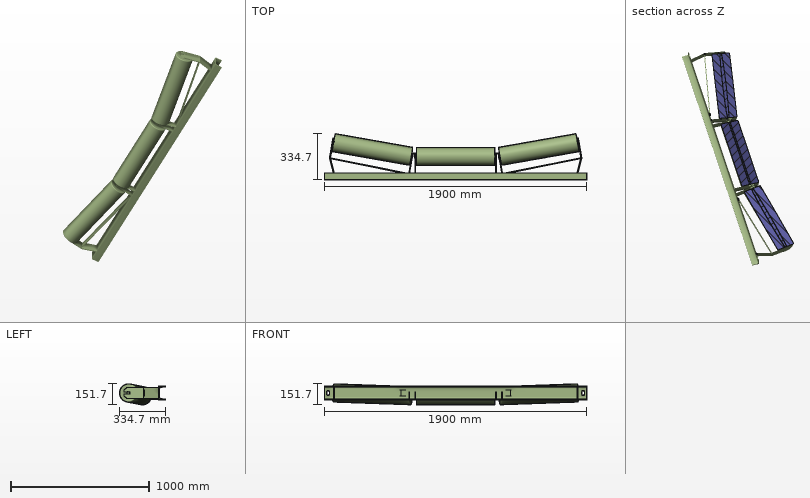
import cadquery as cq
import math


channel_length = 1900.0
channel_height = 99.0
flange_width = 51.0
web_thickness = 5.0
flange_tip_thickness = 5.0
flange_root_thickness = 10.0
root_fillet = 10.0
slot_width = 17.0
slot_height = 35.0
slot_end_distance = 27.0

roller_radius = 66.0
roller_length = 570.0
roller_edge_fillet = 5.0
shaft_diameter = 20.0
shaft_flat_width = 15.0
middle_roller_y = 118.0
side_roller_x = 602.0
side_roller_y = 170.0
side_roller_z = -10.0
yaw = 10.0
tilt = 2.0
middle_roller_z = side_roller_z - roller_length / 2 * math.sin(math.radians(tilt))

plate_thickness = 5.0
outer_plate_thickness = 8.0
outer_plate_height = 82.0
inner_bracket_height = 53.0
plate_gap = 4.0
plate_face = roller_length / 2 + plate_gap
shaft_half_length = plate_face + outer_plate_thickness
slot_overrun = 2.0
outer_tip_rise = 32.0
tip_chamfer_along = 23.0
tip_chamfer_high = 19.0
bend_y = 108.0
foot_lean = 14.5
bracket_top_y = 142.0
strut_height = 45.0
strut_end_x = 363.0

cos_yaw = math.cos(math.radians(yaw))
sin_yaw = math.sin(math.radians(yaw))


def place_on_axis(body, side):
    """Move a body from the X axis onto a roller axis: side is -1 (left), 0 (middle) or 1 (right)."""
    tilted = body.rotate((0, 0, 0), (0, 1, 0), -side * tilt)
    turned = tilted.rotate((0, 0, 0), (0, 0, 1), side * yaw)
    if side == 0:
        return turned.translate((0, middle_roller_y, middle_roller_z))
    return turned.translate((side * side_roller_x, side_roller_y, side_roller_z))


def axis_cylinder(radius, length):
    """Cylinder along the X axis, centred on the origin."""
    return cq.Workplane("YZ", origin=(-length / 2, 0, 0)).circle(radius).extrude(length)


def make_shaft():
    """Round shaft whose ends, outside the roller, have two flats facing up and down."""
    shaft = axis_cylinder(shaft_diameter / 2, 2 * shaft_half_length)
    end_length = shaft_half_length - roller_length / 2
    keep = cq.Workplane("XY").box(roller_length, shaft_diameter, shaft_diameter)
    for end in (-1, 1):
        flat_end = cq.Workplane("XY").box(end_length, shaft_diameter, shaft_flat_width)
        keep = keep.union(flat_end.translate((end * (roller_length + end_length) / 2, 0, 0)))
    return shaft.intersect(keep)


def make_roller():
    """Roller with rounded end edges, bored for its shaft."""
    roller = axis_cylinder(roller_radius, roller_length)
    roller = roller.edges("%CIRCLE").fillet(roller_edge_fillet)
    bore = axis_cylinder(shaft_diameter / 2, roller_length)
    return roller.cut(bore)


def make_channel():
    """Channel open toward -Y, with tapered flanges and a slot through the web near each end."""
    half = channel_height / 2
    profile = [
        (0, -half),
        (0, half),
        (-flange_width, half),
        (-flange_width, half - flange_tip_thickness),
        (-web_thickness, half - flange_root_thickness),
        (-web_thickness, -half + flange_root_thickness),
        (-flange_width, -half + flange_tip_thickness),
        (-flange_width, -half),
    ]
    channel = cq.Workplane("YZ", origin=(-channel_length / 2, 0, 0)).polyline(profile).close()
    channel = channel.extrude(channel_length)
    inner_corners = cq.selectors.BoxSelector(
        (-channel_length, -flange_width / 2, -half),
        (channel_length, -web_thickness / 2, half),
    )
    channel = channel.edges("|X").edges(inner_corners).fillet(root_fillet)
    slot_x = channel_length / 2 - slot_end_distance
    slots = (
        cq.Workplane("XZ")
        .pushPoints([(-slot_x, 0), (slot_x, 0)])
        .slot2D(slot_height, slot_width, 90)
        .extrude(flange_width, both=True)
    )
    return channel.cut(slots)


def side_plan_point(along, across):
    """Plan position measured from the right roller's centre, along its axis and square to it."""
    x = side_roller_x + along * cos_yaw - across * sin_yaw
    y = side_roller_y + along * sin_yaw + across * cos_yaw
    return (x, y)


def side_plan_point_at_y(along, y):
    """Plan position on the line square to the right roller's axis, where it reaches a given Y."""
    across = (y - side_roller_y - along * sin_yaw) / cos_yaw
    return side_plan_point(along, across)


def strip(outline, height):
    """Upright strip, centred on the channel's height, from its outline in plan."""
    return cq.Workplane("XY", origin=(0, 0, -height / 2)).polyline(outline).close().extrude(height)


def make_outer_plate():
    """Bent plate that carries the outer end of the right roller."""
    outer_face = plate_face + outer_plate_thickness
    inner_bend = side_plan_point_at_y(plate_face, bend_y)
    outer_bend = side_plan_point_at_y(outer_face, bend_y)
    foot_shift = bend_y * math.tan(math.radians(foot_lean))
    plate = strip(
        [
            side_plan_point(plate_face, outer_tip_rise),
            inner_bend,
            (inner_bend[0] - foot_shift, 0),
            (outer_bend[0] - foot_shift, 0),
            outer_bend,
            side_plan_point(outer_face, outer_tip_rise),
        ],
        outer_plate_height,
    )
    tip_y = side_plan_point(plate_face, outer_tip_rise)[1]
    half = outer_plate_height / 2
    for end in (-1, 1):
        corner = [
            (tip_y + outer_plate_thickness, end * half),
            (tip_y - tip_chamfer_along, end * half),
            (tip_y, end * (half - tip_chamfer_high)),
            (tip_y + outer_plate_thickness, end * (half - tip_chamfer_high)),
        ]
        plate = plate.cut(cq.Workplane("YZ").polyline(corner).close().extrude(channel_length))
    return plate


def make_inner_bracket():
    """Folded bracket between the middle and right rollers, joined along its top."""
    link_y = bracket_top_y - plate_thickness
    near_face = plate_face
    near_back = plate_face + plate_thickness
    far_face = -plate_face
    far_back = -plate_face - plate_thickness
    bracket = strip(
        [
            (near_face, 0),
            (near_face, bracket_top_y),
            side_plan_point_at_y(far_face, bracket_top_y),
            side_plan_point_at_y(far_face, 0),
            side_plan_point_at_y(far_back, 0),
            side_plan_point_at_y(far_back, link_y),
            (near_back, link_y),
            (near_back, 0),
        ],
        inner_bracket_height,
    )
    return bracket.translate((0, 0, middle_roller_z))


def make_strut():
    """Brace from the bend of the outer plate down to the channel, beside the inner bracket."""
    top_x, top_y = side_plan_point_at_y(plate_face, bend_y)
    rise = plate_thickness / cos_yaw
    return strip(
        [
            (strut_end_x, 0),
            (top_x, top_y),
            (top_x, top_y - rise),
            (strut_end_x + rise / math.tan(math.radians(yaw)), 0),
        ],
        strut_height,
    )


def make_shaft_slot():
    """Cutter for the slots, open toward +Y, that hold the two flatted ends of a shaft."""
    slot_length = roller_radius + shaft_diameter / 2
    cutter_length = 2 * (shaft_half_length + slot_overrun)
    cutter = cq.Workplane("XY").box(cutter_length, slot_length, shaft_flat_width)
    return cutter.translate((0, (roller_radius - shaft_diameter / 2) / 2, 0))


def make_frame():
    """Welded frame: channel, brackets and struts in one piece, slotted for the shafts."""
    frame = make_channel()
    for part in (make_outer_plate(), make_inner_bracket(), make_strut()):
        frame = frame.union(part).union(part.mirror("YZ"))
    for side in (-1, 0, 1):
        frame = frame.cut(place_on_axis(make_shaft_slot(), side))
    return frame


frame = make_frame()
rollers = [place_on_axis(make_roller(), side) for side in (-1, 0, 1)]
shafts = [place_on_axis(make_shaft(), side) for side in (-1, 0, 1)]

result = cq.Compound.makeCompound(
    [frame.val(), *[roller.val() for roller in rollers], *[shaft.val() for shaft in shafts]]
)